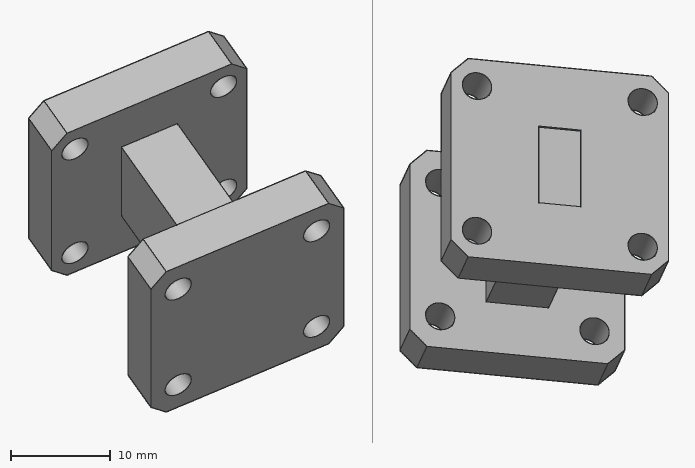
import cadquery as cq

length = 25.4
flange_thickness = 4.85
corner_chamfer = 1.75
near_flange_side = 22.35
far_flange_side = 22.1

bar_width = 6.4
bar_height = 10.8

hole_diameter = 3.0
near_hole_spacing = (17.02, 16.3)
far_hole_spacing = (15.85, 15.04)

recess_width = 4.32
recess_height = 8.64
recess_depth = 0.25


def make_flange(start_x, side, hole_spacing):
    """Square plate with chamfered corners and four through holes along X."""
    plate = (
        cq.Workplane("YZ", origin=(start_x, 0, 0))
        .rect(side, side)
        .extrude(flange_thickness)
        .edges("|X")
        .chamfer(corner_chamfer)
    )
    holes = (
        cq.Workplane("YZ", origin=(start_x, 0, 0))
        .rect(*hole_spacing, forConstruction=True)
        .vertices()
        .circle(hole_diameter / 2)
        .extrude(flange_thickness)
    )
    return plate.cut(holes)


near_face_x = -length / 2
far_flange_x = length / 2 - flange_thickness

near_flange = make_flange(near_face_x, near_flange_side, near_hole_spacing)
far_flange = make_flange(far_flange_x, far_flange_side, far_hole_spacing)

bar_length = length - 2 * flange_thickness
bar = cq.Workplane("XY").box(bar_length, bar_width, bar_height)

recess = (
    cq.Workplane("YZ", origin=(near_face_x, 0, 0))
    .rect(recess_width, recess_height)
    .extrude(recess_depth)
)

result = near_flange.union(bar).union(far_flange).cut(recess)